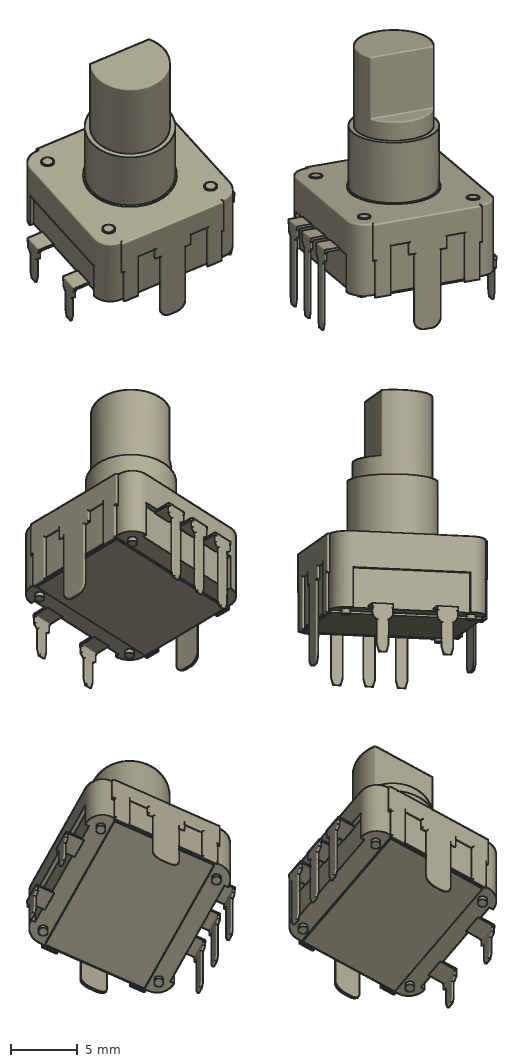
import cadquery as cq


BODY_SIZE = 12.0
BODY_CORNER_RADIUS = 1.46
BODY_DEPTH = 5.8
SHEET = 0.198
COVER_EDGE_RADIUS = 0.13
RECESS_DEPTH = 2.78
RECESS_SETBACK = 0.33
RECESS_HALF_WIDTH = BODY_SIZE / 2 - BODY_CORNER_RADIUS
BODY_BOTTOM = -BODY_DEPTH
FLOOR_BOTTOM = -6.0
FLOOR_LENGTH = 11.7
FLOOR_WIDTH = 8.35

PLATE_SPAN = BODY_SIZE + 2 * SHEET
PLATE_HALF_WIDTH = 4.49
LUG_TOP = -2.99
LUG_OUTER = 4.3
LUG_INNER = 3.05
WINDOW_TOP = -1.98
NECK_HALF_WIDTH = 1.55
LEG_HALF_WIDTH = 1.09
LEG_BOTTOM = -9.25
LEG_CORNER_RADIUS = 0.81
PLATE_EDGE_RADIUS = 0.08

BUSHING_DIAMETER = 6.8
BUSHING_HEIGHT = 4.95
COLLAR_DIAMETER = 7.05
RAISED_HEIGHT = 0.06
SHAFT_DIAMETER = 6.01
SHAFT_TOP = 11.48
FLAT_OFFSET = 1.5
FLAT_BOTTOM = 6.47
SHAFT_EDGE_RADIUS = 0.1

RIVET_BASE_DIAMETER = 1.0
RIVET_TOP_DIAMETER = 0.84
RIVET_X = (-4.49, 4.24)
RIVET_Y = 4.49
PEG_DIAMETER = 0.7
PEG_OFFSET = 4.85
PEG_BOTTOM = -6.18

TERMINAL_PITCH = 2.5
TERMINAL_WIDTH = 1.59
PIN_WIDTH = 0.92
PIN_TIP_WIDTH = 0.58
FRONT_BOTTOM = -9.31
REAR_BOTTOM = -9.4
TIP_LENGTH = 0.58
SHOULDER_DROP = 0.92
SHOULDER_TAPER = 0.33
BEND_RADIUS = 0.13
INNER_BEND_RADIUS = 0.06
TERMINAL_EDGE_RADIUS = 0.095
FRONT_REACH = 7.0
FRONT_TOP = -5.62
REAR_REACH = 7.2
REAR_TOP = -2.67


def box_between(x0, x1, y0, y1, z0, z1):
    """A box given by its limits along each axis."""
    return cq.Workplane("XY").box(x1 - x0, y1 - y0, z1 - z0, centered=False).translate((x0, y0, z0))


def cylinder(diameter, z0, z1, x=0, y=0):
    """An upright cylinder between two heights."""
    return cq.Workplane("XY", origin=(x, y, z0)).circle(diameter / 2).extrude(z1 - z0)


def raised_cone(base_diameter, top_diameter, x=0, y=0):
    """A low truncated cone standing on the cover."""
    return (
        cq.Workplane("XY", origin=(x, y, 0))
        .circle(base_diameter / 2)
        .workplane(offset=RAISED_HEIGHT)
        .circle(top_diameter / 2)
        .loft()
    )


def make_body():
    """Rounded square block with both side plates, recessed below the cover skirt on the two terminal sides."""
    body = (
        cq.Workplane("XY", origin=(0, 0, BODY_BOTTOM))
        .rect(BODY_SIZE, BODY_SIZE)
        .extrude(BODY_DEPTH)
        .edges("|Z")
        .fillet(BODY_CORNER_RADIUS)
    )
    side_plate = make_side_plate()
    body = body.union(side_plate).union(side_plate.mirror("YZ"))
    body = body.faces(">Z").edges().fillet(COVER_EDGE_RADIUS)
    half = BODY_SIZE / 2
    recess = box_between(
        -RECESS_HALF_WIDTH, RECESS_HALF_WIDTH, half - RECESS_SETBACK, half, BODY_BOTTOM, -RECESS_DEPTH
    )
    body = body.cut(recess).cut(recess.mirror("XZ"))
    floor = box_between(
        -FLOOR_LENGTH / 2, FLOOR_LENGTH / 2, -FLOOR_WIDTH / 2, FLOOR_WIDTH / 2, FLOOR_BOTTOM, BODY_BOTTOM
    )
    body = body.union(floor)
    for x in (-PEG_OFFSET, PEG_OFFSET):
        for y in (-PEG_OFFSET, PEG_OFFSET):
            body = body.union(cylinder(PEG_DIAMETER, PEG_BOTTOM, BODY_BOTTOM, x, y))
    return body


def make_side_plate():
    """Sheet plate on the -X side, its outer edges rounded except along the top."""
    half_outline = [
        (PLATE_HALF_WIDTH, 0),
        (PLATE_HALF_WIDTH, LUG_TOP),
        (LUG_OUTER, LUG_TOP),
        (LUG_OUTER, FLOOR_BOTTOM),
        (LUG_INNER, FLOOR_BOTTOM),
        (LUG_INNER, WINDOW_TOP),
        (NECK_HALF_WIDTH, WINDOW_TOP),
        (NECK_HALF_WIDTH, LUG_TOP),
        (LEG_HALF_WIDTH, LUG_TOP),
        (LEG_HALF_WIDTH, LEG_BOTTOM),
    ]
    other_half = [(-y, z) for y, z in reversed(half_outline)]
    plate = (
        cq.Workplane("YZ", origin=(-PLATE_SPAN / 2, 0, 0))
        .polyline(half_outline + other_half)
        .close()
        .extrude(SHEET)
    )
    plate = plate.edges("|X and <Z").fillet(LEG_CORNER_RADIUS)
    return plate.faces("<X").edges("not >Z").fillet(PLATE_EDGE_RADIUS)


def make_shaft():
    """Shaft with one flat ending in a step above the bushing, its edges and step root rounded."""
    shaft = cylinder(SHAFT_DIAMETER, 0, SHAFT_TOP)
    radius = SHAFT_DIAMETER / 2
    shaft = shaft.cut(box_between(-radius, -FLAT_OFFSET, -radius, radius, FLAT_BOTTOM, SHAFT_TOP))
    above_bushing = cq.selectors.BoxSelector(
        (-radius, -radius, BUSHING_HEIGHT), (radius, radius, SHAFT_TOP + SHAFT_EDGE_RADIUS)
    )
    return shaft.edges(above_bushing).edges("not (|Z and >X)").fillet(SHAFT_EDGE_RADIUS)


def make_terminal(x, top, bottom, reach):
    """Bent sheet terminal leaving the body toward +Y and turning down into a tapered pin."""
    root = BODY_SIZE / 2 - RECESS_SETBACK - SHEET
    strip = (
        cq.Workplane("YZ", origin=(x - TERMINAL_WIDTH / 2, 0, 0))
        .polyline(
            [
                (root, top),
                (reach, top),
                (reach, top - SHEET - BEND_RADIUS),
                (reach - SHEET, top - SHEET - BEND_RADIUS),
                (reach - SHEET, top - SHEET),
                (root, top - SHEET),
            ]
        )
        .close()
        .extrude(TERMINAL_WIDTH)
    )
    strip = strip.edges("|X and >Y and >Z").fillet(BEND_RADIUS)
    inner_bend = cq.selectors.NearestToPointSelector((x, reach - SHEET, top - SHEET))
    strip = strip.edges(inner_bend).fillet(INNER_BEND_RADIUS)

    right_side = [
        (TERMINAL_WIDTH / 2, top - BEND_RADIUS),
        (TERMINAL_WIDTH / 2, top - SHOULDER_DROP),
        (PIN_WIDTH / 2, top - SHOULDER_DROP - SHOULDER_TAPER),
        (PIN_WIDTH / 2, bottom + TIP_LENGTH),
        (PIN_TIP_WIDTH / 2, bottom),
    ]
    left_side = [(-u, z) for u, z in reversed(right_side)]
    pin = (
        cq.Workplane("XZ", origin=(x, reach, 0))
        .polyline(right_side + left_side)
        .close()
        .extrude(SHEET)
    )
    pin = pin.faces("<Y or >Y").edges("not >Z").fillet(TERMINAL_EDGE_RADIUS)
    return strip.union(pin)


result = make_body()

result = result.union(raised_cone(COLLAR_DIAMETER, BUSHING_DIAMETER))
result = result.union(cylinder(BUSHING_DIAMETER, 0, BUSHING_HEIGHT))
result = result.union(make_shaft())

for rivet_x in RIVET_X:
    for rivet_y in (-RIVET_Y, RIVET_Y):
        result = result.union(raised_cone(RIVET_BASE_DIAMETER, RIVET_TOP_DIAMETER, rivet_x, rivet_y))

for terminal_x in (-TERMINAL_PITCH, 0, TERMINAL_PITCH):
    result = result.union(make_terminal(terminal_x, REAR_TOP, REAR_BOTTOM, REAR_REACH))
for terminal_x in (-TERMINAL_PITCH, TERMINAL_PITCH):
    result = result.union(make_terminal(terminal_x, FRONT_TOP, FRONT_BOTTOM, FRONT_REACH).mirror("XZ"))